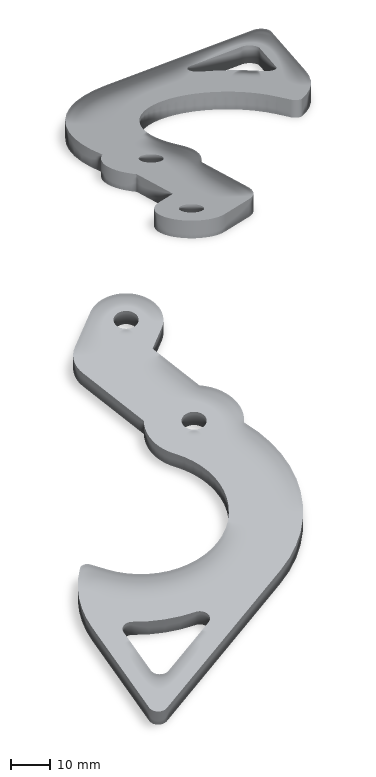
import cadquery as cq
import math

thickness = 4.7
hook_inner_radius = 22.3
hook_outer_radius = 41.1

back_lean = 7.7
brow_slope = 40.5
brow_distance = 29.6
brow_arc_start_x = -4.5
brow_arc_radius = 33.1
tip_radius = 2.5
chin_radius = 1.9

window_wall = 6.4
window_arc_radius = 35.8
window_arc_center = (0.1, 3.8)
window_corner_radius = 2.5

boss_radius = 12.7
hole_diameter = 6.4
arm_half_width = 9.5
pivot = (0, -hook_inner_radius - boss_radius)
elbow = (pivot[0] + 28.5, pivot[1] - 13.4)
arm_end = (pivot[0] + 29.7, pivot[1] - 26.5)

lean = math.radians(back_lean)
slope = math.radians(brow_slope)
back_normal = (-math.cos(lean), math.sin(lean))
brow_normal = (math.sin(slope), math.cos(slope))


def polar(radius, angle):
    return (radius * math.cos(angle), radius * math.sin(angle))


def corner(back_offset, brow_offset):
    """Meeting point of lines parallel to the back and the brow, at these distances from the origin."""
    determinant = back_normal[0] * brow_normal[1] - back_normal[1] * brow_normal[0]
    x = (back_offset * brow_normal[1] - brow_offset * back_normal[1]) / determinant
    y = (back_normal[0] * brow_offset - brow_normal[0] * back_offset) / determinant
    return (x, y)


def crossing_angle(normal, offset):
    """Angle between a line's normal and the point where the line crosses the window's arc."""
    center_offset = window_arc_center[0] * normal[0] + window_arc_center[1] * normal[1]
    return math.acos((offset - center_offset) / window_arc_radius)


def window_arc_point(angle):
    x, y = polar(window_arc_radius, angle)
    return (window_arc_center[0] + x, window_arc_center[1] + y)


def disc(center, radius):
    return cq.Workplane("XY").center(*center).circle(radius).extrude(thickness)


def bar(start, end):
    """Straight round-ended length of arm."""
    dx = end[0] - start[0]
    dy = end[1] - start[1]
    length = math.hypot(dx, dy)
    middle = ((start[0] + end[0]) / 2, (start[1] + end[1]) / 2)
    return (
        cq.Workplane("XY")
        .center(*middle)
        .slot2D(length + 2 * arm_half_width, 2 * arm_half_width, math.degrees(math.atan2(dy, dx)))
        .extrude(thickness)
    )


def round_corner(body, point, radius):
    """Round the upright edge at the given corner."""
    nearest = cq.selectors.NearestToPointSelector((point[0], point[1], thickness / 2))
    return body.edges("|Z").edges(nearest).fillet(radius)


def make_hook():
    tip = corner(hook_outer_radius, brow_distance)
    back_tangent_angle = math.pi - lean
    back_tangent = polar(hook_outer_radius, back_tangent_angle)
    outer_middle = polar(hook_outer_radius, (back_tangent_angle + 1.5 * math.pi) / 2)

    arc_start_y = (brow_distance - brow_arc_start_x * brow_normal[0]) / brow_normal[1]
    arc_start = (brow_arc_start_x, arc_start_y)
    arc_center_x = arc_start[0] - brow_arc_radius * brow_normal[0]
    arc_center_y = arc_start[1] - brow_arc_radius * brow_normal[1]
    chin_rise = hook_inner_radius - arc_center_y
    chin = (arc_center_x + math.sqrt(brow_arc_radius**2 - chin_rise**2), hook_inner_radius)

    body = (
        cq.Workplane("XY")
        .moveTo(0, -hook_outer_radius)
        .threePointArc(outer_middle, back_tangent)
        .lineTo(*tip)
        .lineTo(*arc_start)
        .tangentArcPoint(chin, relative=False)
        .lineTo(0, hook_inner_radius)
        .threePointArc((-hook_inner_radius, 0), (0, -hook_inner_radius))
        .close()
        .extrude(thickness)
    )
    body = round_corner(body, tip, tip_radius)
    return round_corner(body, chin, chin_radius)


def make_window():
    back_offset = hook_outer_radius - window_wall
    brow_offset = brow_distance - window_wall
    low_angle = math.pi - lean - crossing_angle(back_normal, back_offset)
    high_angle = math.pi / 2 - slope + crossing_angle(brow_normal, brow_offset)
    low_corner = window_arc_point(low_angle)
    return (
        cq.Workplane("XY")
        .moveTo(*low_corner)
        .lineTo(*corner(back_offset, brow_offset))
        .lineTo(*window_arc_point(high_angle))
        .threePointArc(window_arc_point((low_angle + high_angle) / 2), low_corner)
        .close()
        .extrude(thickness)
        .edges("|Z")
        .fillet(window_corner_radius)
    )


result = make_hook().cut(make_window())
result = result.union(disc(pivot, boss_radius))
for start, end in ((pivot, elbow), (elbow, arm_end)):
    result = result.union(bar(start, end))
for hole_center in (pivot, arm_end):
    result = result.cut(disc(hole_center, hole_diameter / 2))